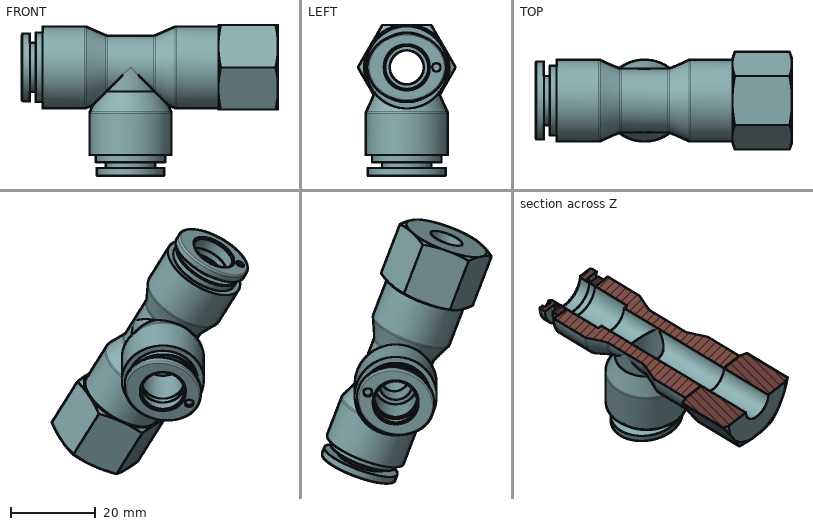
import cadquery as cq
import math


OVERALL_LENGTH = 60.4

PORT_REACH = 25.7
FLANGE_LENGTH = 1.95
RING_FACE = 22.45
BODY_FACE = 20.7
CONE_OUTER = 10.65
CONE_INNER = 5.7

BODY_D = 19.4
NECK_D = 15.05
CONE_FILLET = 1.0
SOCKET_D = 10.2
BORE_D = 8.0
SOCKET_FLOOR = CONE_OUTER

RING_D = 16.5
RING_CHAMFER = 0.2

FLANGE_WIDTH = 18.5
FLANGE_HEIGHT = 16.0
FLANGE_FILLET = 0.4
SLEEVE_D = 11.7
COLLAR_BORE_D = 10.15
COLLAR_MOUTH_CHAMFER = 0.35
DIMPLE_D = 2.0
DIMPLE_OFFSET = 7.0
DIMPLE_DEPTH = 0.7

NUT_ACROSS_FLATS = 20.0
NUT_LENGTH = 13.95
NUT_END = OVERALL_LENGTH - PORT_REACH
NUT_START = NUT_END - NUT_LENGTH
NUT_FACE_D = 20.2
NUT_CHAMFER_ANGLE = 20

OVERLAP = 0.6


def to_run_port(shape):
    """Turns a shape built along +Z so that it points along -X."""
    return shape.rotate((0, 0, 0), (0, 1, 0), -90)


def to_run_nut(shape):
    """Turns a shape built along +Z so that it points along +X."""
    return shape.rotate((0, 0, 0), (0, 1, 0), 90)


def to_branch(shape):
    """Turns a shape built along +Z so that it points along -Z."""
    return shape.rotate((0, 0, 0), (0, 1, 0), 180)


def cylinder(diameter, start, end):
    """A cylinder on the Z axis between two heights."""
    return cq.Workplane().workplane(offset=start).circle(diameter / 2).extrude(end - start)


def fillet_corner(before, corner, after, radius):
    """Start, middle and end of the arc that rounds a corner of an outline."""
    corner = cq.Vector(*corner)
    u = (cq.Vector(*before) - corner).normalized()
    v = (cq.Vector(*after) - corner).normalized()
    half_angle = u.getAngle(v) / 2
    setback = radius / math.tan(half_angle)
    middle = (u + v).normalized() * (radius / math.sin(half_angle) - radius)
    return [(p.x, p.y) for p in (corner + u * setback, corner + middle, corner + v * setback)]


def housing_leg(end, neck_rounded):
    """A solid leg: neck, cone and wide body, rounded where the cone meets the body."""
    neck_r = NECK_D / 2
    body_r = BODY_D / 2
    neck_corner = (neck_r, CONE_INNER)
    body_corner = (body_r, CONE_OUTER)
    body_arc = fillet_corner(neck_corner, body_corner, (body_r, end), CONE_FILLET)
    outline = cq.Workplane("XZ").lineTo(neck_r, 0)
    if neck_rounded:
        neck_arc = fillet_corner((neck_r, 0), neck_corner, body_corner, CONE_FILLET)
        outline = outline.lineTo(*neck_arc[0]).threePointArc(*neck_arc[1:])
    else:
        outline = outline.lineTo(*neck_corner)
    return (
        outline.lineTo(*body_arc[0])
        .threePointArc(*body_arc[1:])
        .lineTo(body_r, end)
        .lineTo(0, end)
        .close()
        .revolve(360, (0, 0), (0, 1))
    )


def make_housing():
    """The tee housing: three legs, a bore along each and a tube socket in each port."""
    port_leg = housing_leg(BODY_FACE, neck_rounded=True)
    nut_leg = housing_leg(NUT_START, neck_rounded=True)
    branch_leg = housing_leg(BODY_FACE, neck_rounded=False)
    housing = to_run_port(port_leg).union(to_run_nut(nut_leg)).union(to_branch(branch_leg))
    bore = cylinder(BORE_D, 0, NUT_START + OVERLAP)
    port = bore.union(cylinder(SOCKET_D, SOCKET_FLOOR, BODY_FACE + OVERLAP))
    return housing.cut(to_run_nut(bore)).cut(to_run_port(port)).cut(to_branch(port))


def make_ring():
    """A retaining ring seated on the housing's port face."""
    ring = cylinder(RING_D, BODY_FACE, RING_FACE).faces(">Z").chamfer(RING_CHAMFER)
    return ring.cut(cylinder(SOCKET_D, BODY_FACE, RING_FACE))


def make_collar():
    """A release collar: a sleeve on the ring and an oval flange with a dimple."""
    flange = (
        cq.Workplane()
        .workplane(offset=PORT_REACH - FLANGE_LENGTH)
        .ellipse(FLANGE_HEIGHT / 2, FLANGE_WIDTH / 2)
        .extrude(FLANGE_LENGTH)
        .faces(">Z")
        .edges()
        .fillet(FLANGE_FILLET)
    )
    collar = flange.union(cylinder(SLEEVE_D, RING_FACE, PORT_REACH - FLANGE_LENGTH))
    collar = collar.faces(">Z").workplane(origin=(0, 0, 0)).hole(COLLAR_BORE_D)
    collar = collar.faces(">Z").edges("%CIRCLE").chamfer(COLLAR_MOUTH_CHAMFER)
    dimple = cylinder(DIMPLE_D, PORT_REACH - DIMPLE_DEPTH, PORT_REACH).translate((0, -DIMPLE_OFFSET, 0))
    return collar.cut(dimple)


def make_nut():
    """The hex nut, with its corners turned down at both ends and a plain bore."""
    corner_r = NUT_ACROSS_FLATS / math.sqrt(3)
    face_r = NUT_FACE_D / 2
    chamfer_length = (corner_r - face_r) * math.tan(math.radians(NUT_CHAMFER_ANGLE))
    hexagon = cq.Workplane().workplane(offset=NUT_START).polygon(6, 2 * corner_r).extrude(NUT_LENGTH)
    turned_blank = (
        cq.Workplane("XZ")
        .moveTo(0, NUT_START)
        .lineTo(face_r, NUT_START)
        .lineTo(corner_r, NUT_START + chamfer_length)
        .lineTo(corner_r, NUT_END - chamfer_length)
        .lineTo(face_r, NUT_END)
        .lineTo(0, NUT_END)
        .close()
        .revolve(360, (0, 0), (0, 1))
    )
    nut = hexagon.rotate((0, 0, 0), (0, 0, 1), 90).intersect(turned_blank)
    return nut.cut(cylinder(BORE_D, NUT_START, NUT_END))


housing = make_housing()
nut = to_run_nut(make_nut())
rings = []
collars = []
for place_port in (to_run_port, to_branch):
    rings.append(place_port(make_ring()).val())
    collars.append(place_port(make_collar()).val())

result = cq.Compound.makeCompound([housing.val(), nut.val(), *rings, *collars])